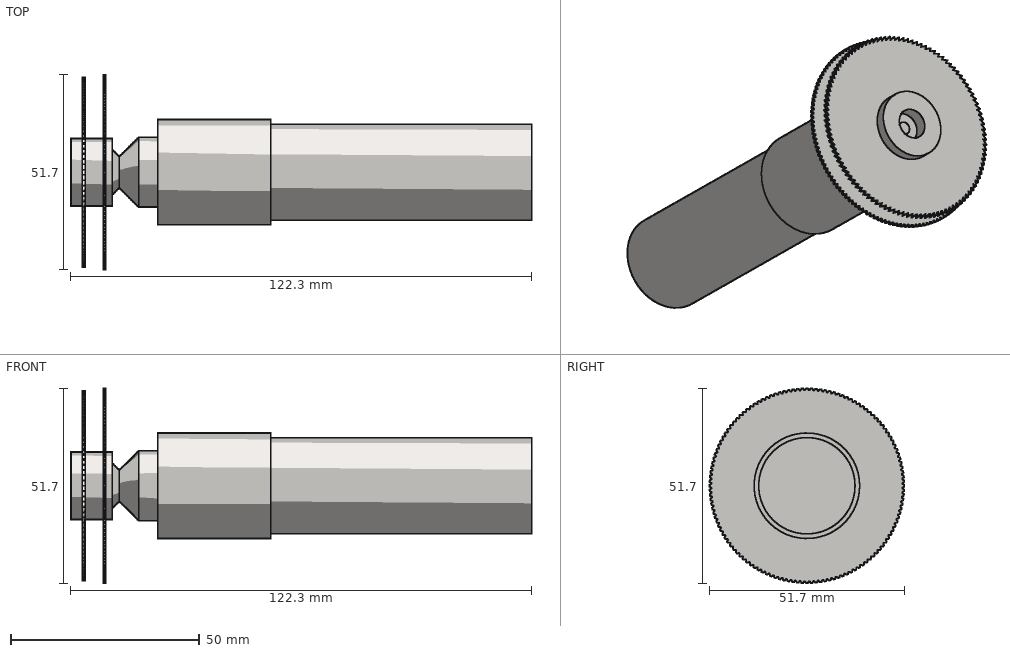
import cadquery as cq
import math

TOTAL_LENGTH = 122.3

HUB_DIAMETER = 18.0
HUB_LENGTH = 11.0
HUB_BORE_DIAMETER = 8.0
HUB_BORE_DEPTH = 3.9

DISC_THICKNESS = 0.7
DISC_SPACING = 5.5
RATCHET_X = 3.0
GEAR_X = RATCHET_X + DISC_SPACING

RATCHET_DIAMETER = 50.4
RATCHET_TEETH = 110
RATCHET_TOOTH_DEPTH = 1.0

GEAR_DIAMETER = 51.7
GEAR_TEETH = 132
GEAR_TOOTH_DEPTH = 0.5
GEAR_TIP_FRACTION = 0.35
GEAR_FLANK_FRACTION = 0.25

SHAFT_DIAMETER = 4.2
SHAFT_TIP_DIAMETER = 3.3

THROAT_X = 12.8
THROAT_DIAMETER = 8.3
BOSS_DIAMETER = 18.6
GEARBOX_X = 23.0
GEARBOX_DIAMETER = 28.0

MOTOR_X = 53.1
MOTOR_DIAMETER = 25.5


def cylinder(start, end, diameter):
    """Solid cylinder on the X axis between two X positions."""
    return cq.Workplane("YZ", origin=(start, 0, 0)).circle(diameter / 2).extrude(end - start)


def make_hub():
    hub = cylinder(0, HUB_LENGTH, HUB_DIAMETER)
    counterbore = cylinder(0, HUB_BORE_DEPTH, HUB_BORE_DIAMETER)
    shaft_hole = make_shaft()
    return hub.cut(counterbore).cut(shaft_hole)


def make_toothed_disc(start, tooth_profile, teeth):
    """Disc that fits the hub; tooth_profile lists (fraction of pitch, radius) for one tooth."""
    pitch_angle = 2 * math.pi / teeth
    outline = []
    for tooth in range(teeth):
        for fraction, radius in tooth_profile:
            angle = (tooth + fraction) * pitch_angle
            outline.append((radius * math.cos(angle), radius * math.sin(angle)))
    blank = cq.Workplane("YZ", origin=(start, 0, 0)).polyline(outline).close().extrude(DISC_THICKNESS)
    return blank.cut(cylinder(start, start + DISC_THICKNESS, HUB_DIAMETER))


def make_ratchet_disc():
    tip_radius = RATCHET_DIAMETER / 2
    root_radius = tip_radius - RATCHET_TOOTH_DEPTH
    tooth_profile = [(0, tip_radius), (0, root_radius)]
    return make_toothed_disc(RATCHET_X, tooth_profile, RATCHET_TEETH)


def make_gear_disc():
    tip_radius = GEAR_DIAMETER / 2
    root_radius = tip_radius - GEAR_TOOTH_DEPTH
    half_tip = GEAR_TIP_FRACTION / 2
    half_base = half_tip + GEAR_FLANK_FRACTION
    tooth_profile = [
        (-half_base, root_radius),
        (-half_tip, tip_radius),
        (half_tip, tip_radius),
        (half_base, root_radius),
    ]
    return make_toothed_disc(GEAR_X, tooth_profile, GEAR_TEETH)


def make_shaft():
    """Output shaft, with its tip flush with the floor of the hub counterbore."""
    chamfer = (SHAFT_DIAMETER - SHAFT_TIP_DIAMETER) / 2
    return cylinder(HUB_BORE_DEPTH, HUB_LENGTH, SHAFT_DIAMETER).faces("<X").chamfer(chamfer)


def make_gearbox():
    throat_radius = THROAT_DIAMETER / 2
    boss_radius = BOSS_DIAMETER / 2
    body_radius = GEARBOX_DIAMETER / 2
    cone_start_radius = throat_radius + THROAT_X - HUB_LENGTH
    boss_x = THROAT_X + boss_radius - throat_radius

    body = (
        cq.Workplane("XY")
        .moveTo(HUB_LENGTH, 0)
        .lineTo(HUB_LENGTH, cone_start_radius)
        .lineTo(THROAT_X, throat_radius)
        .lineTo(boss_x, boss_radius)
        .lineTo(GEARBOX_X, boss_radius)
        .lineTo(GEARBOX_X, body_radius)
        .lineTo(MOTOR_X, body_radius)
        .lineTo(MOTOR_X, 0)
        .close()
        .revolve(360, (0, 0, 0), (1, 0, 0))
    )
    return body.union(make_shaft())


hub = make_hub()
ratchet_disc = make_ratchet_disc()
gear_disc = make_gear_disc()
gearbox = make_gearbox()
motor = cylinder(MOTOR_X, TOTAL_LENGTH, MOTOR_DIAMETER)

result = cq.Compound.makeCompound(
    [hub.val(), ratchet_disc.val(), gear_disc.val(), gearbox.val(), motor.val()]
)